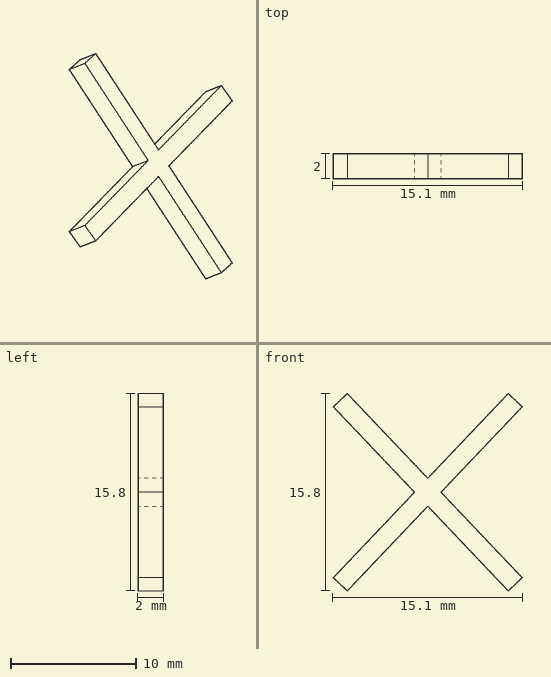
import cadquery as cq
import math

height = 15.78
thickness = 2.0
bar_width = 1.55
tilt = 46.47

tilt_radians = math.radians(tilt)
bar_length = (height - bar_width * math.cos(tilt_radians)) / math.sin(tilt_radians)


def bar(angle):
    """Bar centred on the origin, turned about Y by the given angle."""
    blank = cq.Workplane("XY").box(bar_length, thickness, bar_width)
    return blank.rotate((0, 0, 0), (0, 1, 0), angle)


result = bar(tilt).union(bar(-tilt))